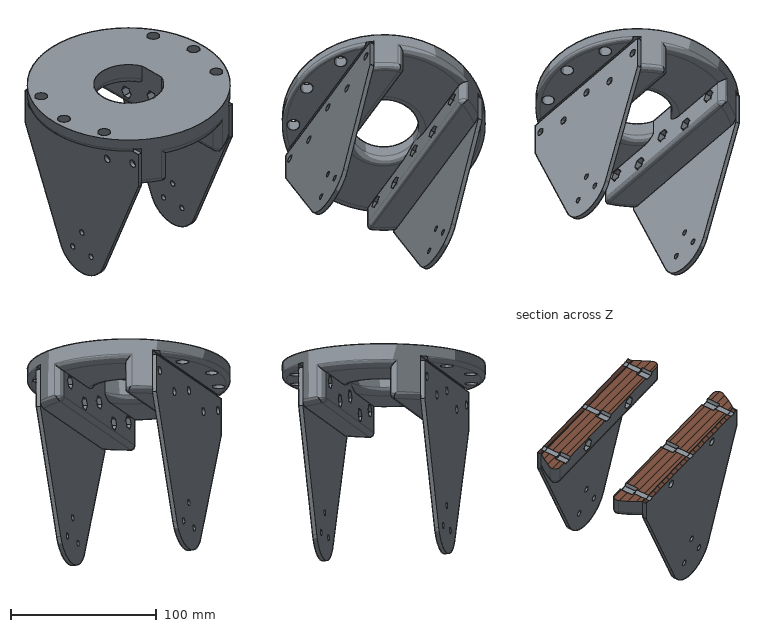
import cadquery as cq
import math

TURN = 9.4

RADIUS = 69.7
SLAB_DEPTH = 16.0
SLAB_ROUND = 5.0
BORE_RADIUS = 24.0

BLOCK_DEPTH = 37.5
BACK_BLOCK_INNER = 22.0
FRONT_BLOCK_INNER = BORE_RADIUS
BLOCK_CORNER_ROUND = 4.0
BLOCK_RIM_ROUND = 4.0
BLOCK_INNER_ROUND = 3.0
SEAT = 42.0

LIP_DEPTH = 10.5
LIP_ROUND = 2.9
GROOVE_WIDTH = 4.0
GROOVE_CEILING = LIP_DEPTH - LIP_ROUND

FLANGE_HOLE_DIAMETER = 8.6
FLANGE_HOLE_RADIUS = 62.0
FLANGE_HOLE_STEP = 30.0

LEG_THICKNESS = 3.0
LEG_HALF_WIDTH = math.sqrt(RADIUS**2 - SEAT**2)
LEG_TOP = -10.9
LEG_SHOULDER = -BLOCK_DEPTH
LEG_TIP = -134.8
TIP_RADIUS = 22.5
TIP_CENTRE = LEG_TIP + TIP_RADIUS

SCREW_DIAMETER = 5.5
SCREW_PITCH = 50.0
UPPER_ROW_Z = -21.0
LOWER_ROW_Z = -29.0

NUT_ACROSS_FLATS = 8.1
HEX_CORNER_RATIO = 1 / math.cos(math.pi / 6)
NUT_FLOOR = 31.9

TIP_HOLE_DIAMETER = 4.0
TIP_HOLE_CIRCLE_RADIUS = 10.5
TIP_HOLE_ANGLES = (90, 210, 330)
TIP_HOLE_CENTRE = -112.1


def polar(radius, degrees):
    """The two coordinates of a point at a radius and an angle."""
    angle = math.radians(degrees)
    return radius * math.cos(angle), radius * math.sin(angle)


def disc(depth, edge_round):
    """A full disc below Z = 0 with its lower edge rounded."""
    return cq.Workplane("XY").circle(RADIUS).extrude(-depth).faces("<Z").edges().fillet(edge_round)


def slice_along_y(y_min, y_max, z_bottom, z_top=0):
    """A box spanning the whole width in X between the given Y and Z limits."""
    plane = cq.Workplane("XY").workplane(offset=z_top)
    plane = plane.center(0, (y_min + y_max) / 2)
    return plane.rect(2 * RADIUS, y_max - y_min).extrude(z_bottom - z_top)


def rods_along_y(points, diameter):
    """Cylinders through the whole part along Y at the given (x, z) points."""
    return cq.Workplane("XZ").pushPoints(points).circle(diameter / 2).extrude(RADIUS, both=True)


def screw_points():
    upper = [(step * SCREW_PITCH, UPPER_ROW_Z) for step in (-1, 0, 1)]
    lower = [(step * SCREW_PITCH, LOWER_ROW_Z) for step in (-0.5, 0.5)]
    return upper + lower


def make_slab():
    """The slab between the two seats, with its rim and bore rounded underneath."""
    slab = cq.Workplane("XY").circle(RADIUS).circle(BORE_RADIUS).extrude(-SLAB_DEPTH)
    slab = slab.faces("<Z").edges().fillet(SLAB_ROUND)
    return slab.intersect(slice_along_y(-SEAT, SEAT, -SLAB_DEPTH))


def make_block(inner):
    """A block on the +Y side, from its inner face to the seat."""
    block = cq.Workplane("XY").circle(RADIUS).extrude(-BLOCK_DEPTH)
    block = block.intersect(slice_along_y(inner, RADIUS, -BLOCK_DEPTH))
    block = block.edges("|Z").fillet(BLOCK_CORNER_ROUND)
    block = block.faces("<Z").edges().fillet(BLOCK_INNER_ROUND)
    block = block.intersect(disc(BLOCK_DEPTH, BLOCK_RIM_ROUND))
    return block.intersect(slice_along_y(0, SEAT, -BLOCK_DEPTH))


def make_lip():
    """The slab beyond the seats, cut back by a groove above each leg."""
    lip = disc(LIP_DEPTH, LIP_ROUND).cut(slice_along_y(-SEAT, SEAT, -LIP_DEPTH))
    groove_edge = SEAT + GROOVE_WIDTH
    return lip.cut(slice_along_y(-groove_edge, groove_edge, -LIP_DEPTH, -GROOVE_CEILING))


def flange_holes():
    """Cutters for the holes through the lip, beyond both seats."""
    points = []
    for middle in (90, 270):
        for step in (-1, 0, 1):
            points.append(polar(FLANGE_HOLE_RADIUS, middle + step * FLANGE_HOLE_STEP))
    return cq.Workplane("XY").pushPoints(points).circle(FLANGE_HOLE_DIAMETER / 2).extrude(-LIP_DEPTH)


def nut_pockets():
    """Hexagonal cutters that reach the pocket floors in both blocks."""
    plane = cq.Workplane("XZ").pushPoints(screw_points())
    return plane.polygon(6, NUT_ACROSS_FLATS * HEX_CORNER_RATIO).extrude(NUT_FLOOR, both=True)


def make_housing():
    back_block = make_block(BACK_BLOCK_INNER)
    front_block = make_block(FRONT_BLOCK_INNER).rotate((0, 0, 0), (0, 0, 1), 180)
    housing = make_slab().union(back_block).union(front_block).union(make_lip())
    housing = housing.cut(flange_holes())
    housing = housing.cut(rods_along_y(screw_points(), SCREW_DIAMETER)).cut(nut_pockets())
    return housing.rotate((0, 0, 0), (0, 0, 1), TURN)


def leg_outline():
    """A rectangle above a taper whose sides run tangent into the round tip."""
    drop = LEG_SHOULDER - TIP_CENTRE
    shoulder_distance = math.hypot(LEG_HALF_WIDTH, drop)
    tangent_angle = math.atan2(drop, LEG_HALF_WIDTH) - math.acos(TIP_RADIUS / shoulder_distance)
    tangent_x, tangent_rise = polar(TIP_RADIUS, math.degrees(tangent_angle))
    tangent_z = TIP_CENTRE + tangent_rise
    return (
        cq.Workplane("XZ")
        .moveTo(-LEG_HALF_WIDTH, LEG_TOP)
        .lineTo(LEG_HALF_WIDTH, LEG_TOP)
        .lineTo(LEG_HALF_WIDTH, LEG_SHOULDER)
        .lineTo(tangent_x, tangent_z)
        .threePointArc((0, LEG_TIP), (-tangent_x, tangent_z))
        .lineTo(-LEG_HALF_WIDTH, LEG_SHOULDER)
        .close()
    )


def tip_hole_points():
    offsets = [polar(TIP_HOLE_CIRCLE_RADIUS, angle) for angle in TIP_HOLE_ANGLES]
    return [(x, TIP_HOLE_CENTRE + rise) for x, rise in offsets]


def make_leg(side):
    """The leg on the +Y block (side = 1) or on the -Y block (side = -1)."""
    leg = leg_outline().extrude(LEG_THICKNESS / 2, both=True)
    leg = leg.translate((0, side * (SEAT + LEG_THICKNESS / 2), 0))
    leg = leg.cut(rods_along_y(screw_points(), SCREW_DIAMETER))
    leg = leg.cut(rods_along_y(tip_hole_points(), TIP_HOLE_DIAMETER))
    return leg.rotate((0, 0, 0), (0, 0, 1), TURN)


housing = make_housing()
legs = [make_leg(side) for side in (1, -1)]

result = cq.Compound.makeCompound([housing.val(), *[leg.val() for leg in legs]])